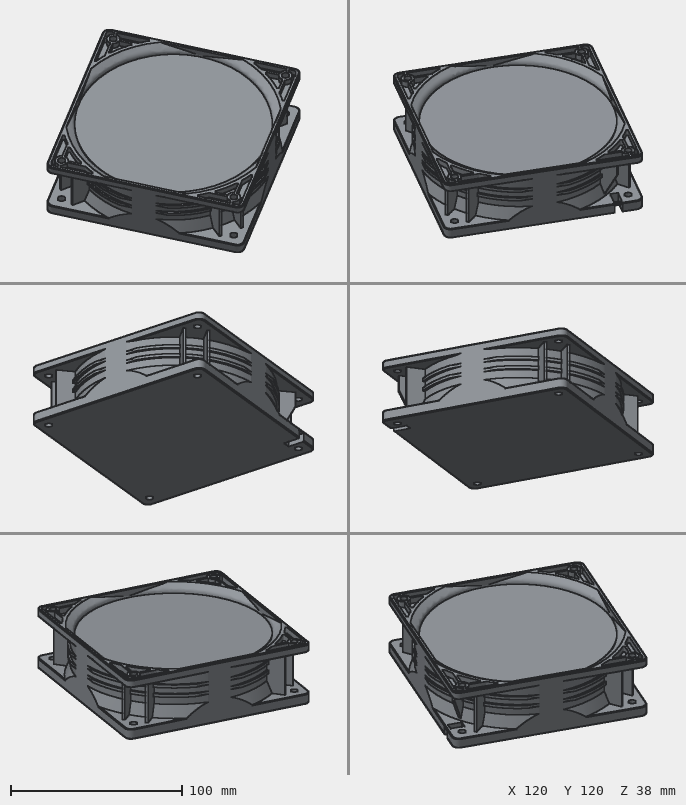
import cadquery as cq
import math

side = 120.0
height = 38.0
corner_radius = 4.2
outer_chamfer = 0.6
inner_chamfer = 0.5
bottom_flange = 6.6
top_flange = 5.0
top_flange_base = height - top_flange

wall_radius = 60.5
wall_foot_radius = 63.7
flare_top = 14.2
wall_top = top_flange_base + inner_chamfer
rib_radius = 61.8
rib_height = 1.9
rib_bases = (19.2, 25.2)

mouth_radius = 63.1
disc_radius = 57.7
mouth_lip_direction = (1, 0.8)
rim = 2.2
inner_side = side - 2 * rim

hole_spacing = 105.0
hole_diameter = 4.3
boss_radius = 3.8
spoke_width = 1.5
pocket_depth = 3.8
mouth_wall = 2.2
pocket_end_radius = 0.6

web_thickness = 1.5
web_offset = 7.1
web_embed = 6.0
web_end = 71.2
web_start = wall_radius - web_embed

outlet_web_foot = 62.2
outlet_web_top = 23.8
outlet_x = -44.9
outlet_width = 4.8
outlet_inner_y = 49.2
outlet_outer_y = side / 2 - rim
outlet_channel_height = 5.5

corner_angles = (45, 135, 225, 315)


def block(size, base, tall):
    """Square block on the axis, from base upwards."""
    return cq.Workplane("XY").workplane(offset=base).rect(size, size).extrude(tall)


def disc(radius, base, tall):
    return cq.Workplane("XY").workplane(offset=base).circle(radius).extrude(tall)


def flange(base, thickness, outer_face, inner_face):
    """Rounded square plate; outer_face and inner_face select its two flat faces."""
    plate = block(side, base, thickness).edges("|Z").fillet(corner_radius)
    plate = plate.faces(outer_face).edges().chamfer(outer_chamfer)
    return plate.faces(inner_face).edges().chamfer(inner_chamfer)


def wall():
    """Solid drum with a flared foot and two ribs, cut flush with the four sides."""
    drum = (
        cq.Workplane("XZ")
        .moveTo(0, 0)
        .lineTo(wall_foot_radius, 0)
        .lineTo(wall_foot_radius, bottom_flange)
        .lineTo(wall_radius, flare_top)
        .lineTo(wall_radius, wall_top)
        .lineTo(0, wall_top)
        .close()
        .revolve(360, (0, 0, 0), (0, 1, 0))
    )
    for base in rib_bases:
        drum = drum.union(disc(rib_radius, base, rib_height))
    sides = block(side, outer_chamfer, height - 2 * outer_chamfer)
    return drum.intersect(sides)


def web(angle, direction, foot_end=web_end):
    """Upright plate parallel to a corner diagonal; its outer end may slant in to foot_end."""
    plate = (
        cq.Workplane("XZ")
        .moveTo(web_start, bottom_flange)
        .lineTo(foot_end, bottom_flange)
        .lineTo(web_end, outlet_web_top)
        .lineTo(web_end, top_flange_base)
        .lineTo(web_start, top_flange_base)
        .close()
        .extrude(web_thickness / 2, both=True)
    )
    return plate.translate((0, direction * web_offset, 0)).rotate((0, 0, 0), (0, 0, 1), angle)


def mouth():
    """Bell-shaped recess that starts upright at the disc and flares out, kept inside the rim."""
    bell = (
        cq.Workplane("XZ")
        .moveTo(0, top_flange_base)
        .lineTo(disc_radius, top_flange_base)
        .spline([(mouth_radius, height)], tangents=[(0, 1), mouth_lip_direction], includeCurrent=True)
        .lineTo(0, height)
        .close()
        .revolve(360, (0, 0, 0), (0, 1, 0))
    )
    return bell.intersect(block(inner_side, 0, 2 * height))


def on_mouth_wall(edge):
    """True for an upright edge on the outside of the round wall around the mouth."""
    centre = edge.Center()
    return math.isclose(math.hypot(centre.x, centre.y), mouth_radius + mouth_wall, abs_tol=0.01)


def pockets():
    """Blind corner pockets, split by the screw bosses and the spokes through them."""
    base = height - pocket_depth
    space = block(inner_side, base, pocket_depth).edges("|Z").fillet(corner_radius - rim)
    space = space.cut(disc(mouth_radius + mouth_wall, base, pocket_depth))
    floor = cq.Workplane("XY").workplane(offset=base)
    bosses = floor.rect(hole_spacing, hole_spacing, forConstruction=True).vertices()
    space = space.cut(bosses.circle(boss_radius).extrude(pocket_depth))
    for place in (-hole_spacing / 2, hole_spacing / 2):
        space = space.cut(floor.center(place, 0).rect(spoke_width, side).extrude(pocket_depth))
        space = space.cut(floor.center(0, place).rect(side, spoke_width).extrude(pocket_depth))
    return space.edges("|Z").filter(on_mouth_wall).fillet(pocket_end_radius)


def mounting_holes():
    centres = cq.Workplane("XY").rect(hole_spacing, hole_spacing, forConstruction=True).vertices()
    return centres.circle(hole_diameter / 2).extrude(height)


def slot(inner_y, outer_y, tall):
    """Upright slot of the outlet's width, from Z = 0."""
    middle_y = (inner_y + outer_y) / 2
    base = cq.Workplane("XY").center(outlet_x, middle_y)
    return base.rect(outlet_width, outer_y - inner_y).extrude(tall)


def wire_outlet():
    """Slot through the bottom flange with a channel under it out to the +Y side."""
    opening = slot(outlet_inner_y, outlet_outer_y, bottom_flange)
    return opening.union(slot(outlet_inner_y, side / 2, outlet_channel_height))


body = flange(0, bottom_flange, "<Z", ">Z")
body = body.union(flange(top_flange_base, top_flange, ">Z", "<Z"))
body = body.union(wall())
body = body.cut(wire_outlet())
for corner_angle in corner_angles:
    for web_side in (-1, 1):
        at_outlet = corner_angle == 135 and web_side == -1
        foot = outlet_web_foot if at_outlet else web_end
        body = body.union(web(corner_angle, web_side, foot))

result = body.cut(mouth()).cut(pockets()).cut(mounting_holes())